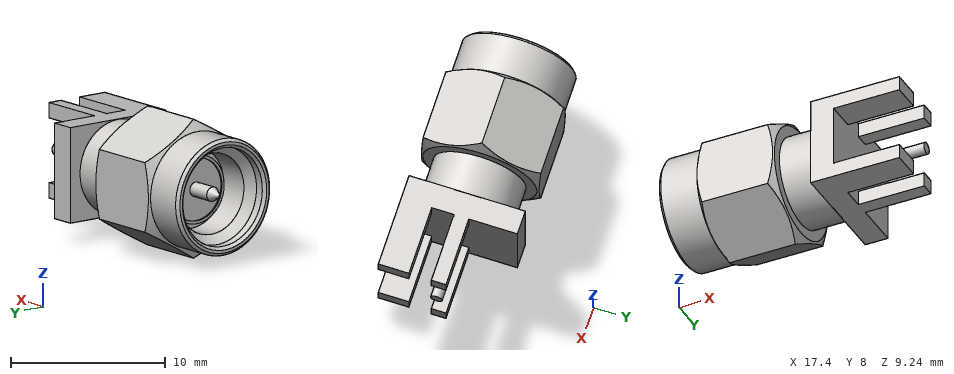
import cadquery as cq
import math

overall_length = 17.45

sleeve_radius = 3.875
sleeve_chamfer = 0.2

hex_across_flats = 8.0
hex_sides = 6
hex_across_corners = hex_across_flats / math.cos(math.pi / hex_sides)
hex_start = 2.8
hex_end = 8.4
hex_chamfer_angle = 30.0
hex_end_radius = sleeve_radius

neck_radius = 3.15

leg_length = 4.75
plate_thickness = 1.65
plate_width = 7.9
plate_height = 6.35
plate_back = overall_length - leg_length
plate_front = plate_back - plate_thickness
leg_thickness = 1.03
wide_leg_width = 2.08
narrow_leg_width = 1.0
narrow_leg_center_y = 0.15

mouth_radius = 3.27
mouth_chamfer = 0.2
mouth_depth = 0.8
bore_radius = 2.69
bore_taper_end = mouth_depth + (mouth_radius - bore_radius)
bore_depth = 3.5

ferrule_front = 2.9
ferrule_radius = 2.27
insulator_radius = 2.08
insulator_recess = 0.1
insulator_front = ferrule_front + insulator_recess

contact_radius = 0.48
contact_tip = 0.5
contact_tip_radius = 0.06
contact_cone_end = 1.25
solder_pin_radius = 0.4


def revolve_about_x(points):
    """Revolve a closed (x, radius) outline around the connector axis."""
    return cq.Workplane("XZ").polyline(points).close().revolve(360, (0, 0, 0), (1, 0, 0))


def rod(radius, start, end):
    """Solid cylinder on the connector axis between two X positions."""
    return revolve_about_x([(start, 0), (start, radius), (end, radius), (end, 0)])


def make_sleeve():
    return rod(sleeve_radius, 0, hex_start).faces("<X").chamfer(sleeve_chamfer)


def make_hex():
    """Hexagon with corners up and down, both ends turned to a cone."""
    corner_radius = hex_across_corners / 2
    cone_length = (corner_radius - hex_end_radius) * math.tan(math.radians(hex_chamfer_angle))
    prism = (
        cq.Workplane("YZ")
        .workplane(offset=hex_start)
        .transformed(rotate=(0, 0, 90))
        .polygon(hex_sides, hex_across_corners)
        .extrude(hex_end - hex_start)
    )
    envelope = revolve_about_x([
        (hex_start, 0),
        (hex_start, hex_end_radius),
        (hex_start + cone_length, corner_radius),
        (hex_end - cone_length, corner_radius),
        (hex_end, hex_end_radius),
        (hex_end, 0),
    ])
    return prism.intersect(envelope)


def make_bore():
    """Stepped socket cavity, with the ferrule left standing in its floor."""
    cavity = revolve_about_x([
        (0, 0),
        (0, mouth_radius + mouth_chamfer),
        (mouth_chamfer, mouth_radius),
        (mouth_depth, mouth_radius),
        (bore_taper_end, bore_radius),
        (bore_depth, bore_radius),
        (bore_depth, 0),
    ])
    ferrule = rod(ferrule_radius, ferrule_front, bore_depth)
    recess = rod(insulator_radius, ferrule_front, insulator_front)
    return cavity.cut(ferrule.cut(recess))


def make_contact():
    """Cone-tipped center contact, rooted in the insulator."""
    return revolve_about_x([
        (contact_tip, 0),
        (contact_tip, contact_tip_radius),
        (contact_cone_end, contact_radius),
        (bore_depth, contact_radius),
        (bore_depth, 0),
    ])


def make_plate():
    return cq.Workplane("XY").box(plate_thickness, plate_width, plate_height).translate(
        ((plate_front + plate_back) / 2, 0, 0)
    )


def make_leg(width, center_y, side):
    """One leg behind the plate; side is +1 for the top edge and -1 for the bottom edge."""
    center_x = plate_back + leg_length / 2
    center_z = side * (plate_height - leg_thickness) / 2
    return cq.Workplane("XY").box(leg_length, width, leg_thickness).translate((center_x, center_y, center_z))


body = make_sleeve()
body = body.union(make_hex())
body = body.union(rod(neck_radius, hex_end, plate_front))
body = body.cut(make_bore())
body = body.union(make_contact())
body = body.union(make_plate())
body = body.union(rod(solder_pin_radius, plate_back, overall_length))

wide_leg_center_y = (wide_leg_width - plate_width) / 2
for side in (1, -1):
    body = body.union(make_leg(wide_leg_width, wide_leg_center_y, side))
    body = body.union(make_leg(narrow_leg_width, narrow_leg_center_y, side))

result = body